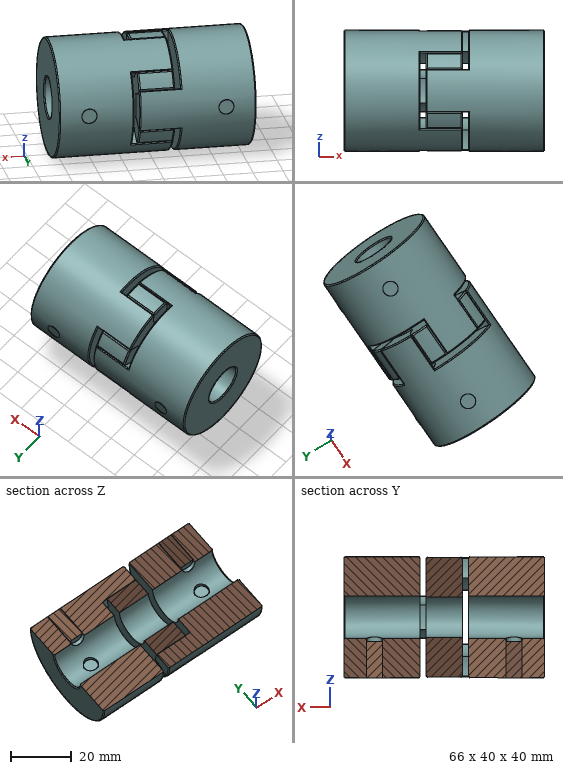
import cadquery as cq
import math


length = 66.0
outer_radius = 20.0
hub_body_length = 25.1
jaws_per_hub = 3

bore_radius = 6.9
bore_chamfer = 0.4
hub_edge_chamfer = 0.4

spider_thickness = 12.0
spider_radius = 19.8
spider_hole_radius = 6.65
leg_chamfer = 0.45

jaw_inner_radius = 13.25
jaw_inner_half_width = 4.1
jaw_outer_half_width = 7.2
jaw_side_sag = 0.45

screw_radius = 2.5
screw_tip_recess = 1.0
screw_end_distance = 10.0
screw_angles = [0, -90]

tolerance = 0.0005
edge_samples = (0, 0.25, 0.5, 1)

half_length = length / 2
hub_face_x = half_length - hub_body_length
jaw_tip_x = spider_thickness / 2
jaw_pitch = 360 / jaws_per_hub
screw_x = half_length - screw_end_distance


def disc(radius, x_start, x_end):
    """Cylinder along X between two stations."""
    return cq.Workplane("YZ", origin=(x_start, 0, 0)).circle(radius).extrude(x_end - x_start)


def turned(body, angle):
    """Body turned about the X axis."""
    return body.rotate((0, 0, 0), (1, 0, 0), angle)


def chamfer_rim(body, radius, size):
    """Chamfer the edges on the cylinder of the given radius, except its seam along +Y."""

    def is_rim(edge):
        points = [edge.positionAt(t) for t in edge_samples]
        on_cylinder = all(abs(math.hypot(p.y, p.z) - radius) < tolerance for p in points)
        is_seam = all(abs(p.z) < tolerance for p in points)
        return on_cylinder and not is_seam

    rim = [edge for edge in body.edges().vals() if is_rim(edge)]
    return body.newObject(rim).chamfer(size)


def jaw(x_start, x_end, angle):
    """One jaw: concentric inner and outer faces and two hollow sides."""
    inner_y = math.sqrt(jaw_inner_radius**2 - jaw_inner_half_width**2)
    outer_y = math.sqrt(outer_radius**2 - jaw_outer_half_width**2)
    side_y = outer_y - inner_y
    side_z = jaw_outer_half_width - jaw_inner_half_width
    chord = math.hypot(side_y, side_z)
    mid_y = (inner_y + outer_y) / 2 + jaw_side_sag * side_z / chord
    mid_z = (jaw_inner_half_width + jaw_outer_half_width) / 2 - jaw_side_sag * side_y / chord
    outline = (
        cq.Workplane("YZ", origin=(x_start, 0, 0))
        .moveTo(inner_y, -jaw_inner_half_width)
        .threePointArc((mid_y, -mid_z), (outer_y, -jaw_outer_half_width))
        .threePointArc((outer_radius, 0), (outer_y, jaw_outer_half_width))
        .threePointArc((mid_y, mid_z), (inner_y, jaw_inner_half_width))
        .threePointArc((jaw_inner_radius, 0), (inner_y, -jaw_inner_half_width))
        .close()
    )
    return turned(outline.extrude(x_end - x_start), angle)


def radial_rod(side, angle, inner_end, outer_end):
    """Rod of the screw's diameter on a screw axis; side is -1 or +1 along X."""
    rod = (
        cq.Workplane("XZ", origin=(side * screw_x, inner_end, 0))
        .circle(screw_radius)
        .extrude(inner_end - outer_end)
    )
    return turned(rod, angle)


def make_screw(side, angle):
    """Flat-ended set screw, its tip just short of the bore and its head at the outer radius."""
    return radial_rod(side, angle, bore_radius + screw_tip_recess, outer_radius)


def make_hub(side, first_jaw_angle):
    """Bored hub with its jaws reaching across the middle; side is -1 or +1 along X."""
    face_x = side * hub_face_x
    tip_x = -side * jaw_tip_x
    gaps = disc(outer_radius, face_x, tip_x)
    for i in range(jaws_per_hub):
        gaps = gaps.cut(jaw(face_x, tip_x, first_jaw_angle + i * jaw_pitch))
    body = disc(outer_radius, side * half_length, tip_x).cut(gaps)
    body = chamfer_rim(body, outer_radius, hub_edge_chamfer)
    body = body.cut(disc(bore_radius, -half_length, half_length))
    end_face = body.faces("<X" if side < 0 else ">X")
    body = end_face.edges(cq.selectors.RadiusNthSelector(0)).chamfer(bore_chamfer)
    for angle in screw_angles:
        body = body.cut(radial_rod(side, angle, 0, outer_radius))
    return body


def make_spider():
    """Ring that fills the spaces between neighbouring jaws with its legs."""
    spider = disc(spider_radius, -jaw_tip_x, jaw_tip_x)
    for i in range(2 * jaws_per_hub):
        spider = spider.cut(jaw(-jaw_tip_x, jaw_tip_x, i * jaw_pitch / 2))
    spider = chamfer_rim(spider, spider_radius, leg_chamfer)
    return spider.cut(disc(spider_hole_radius, -jaw_tip_x, jaw_tip_x))


left_hub = make_hub(-1, 0)
right_hub = make_hub(1, jaw_pitch / 2)
spider = make_spider()
screws = [make_screw(side, angle) for side in (-1, 1) for angle in screw_angles]

result = cq.Compound.makeCompound(
    [left_hub.val(), right_hub.val(), spider.val(), *[screw.val() for screw in screws]]
)